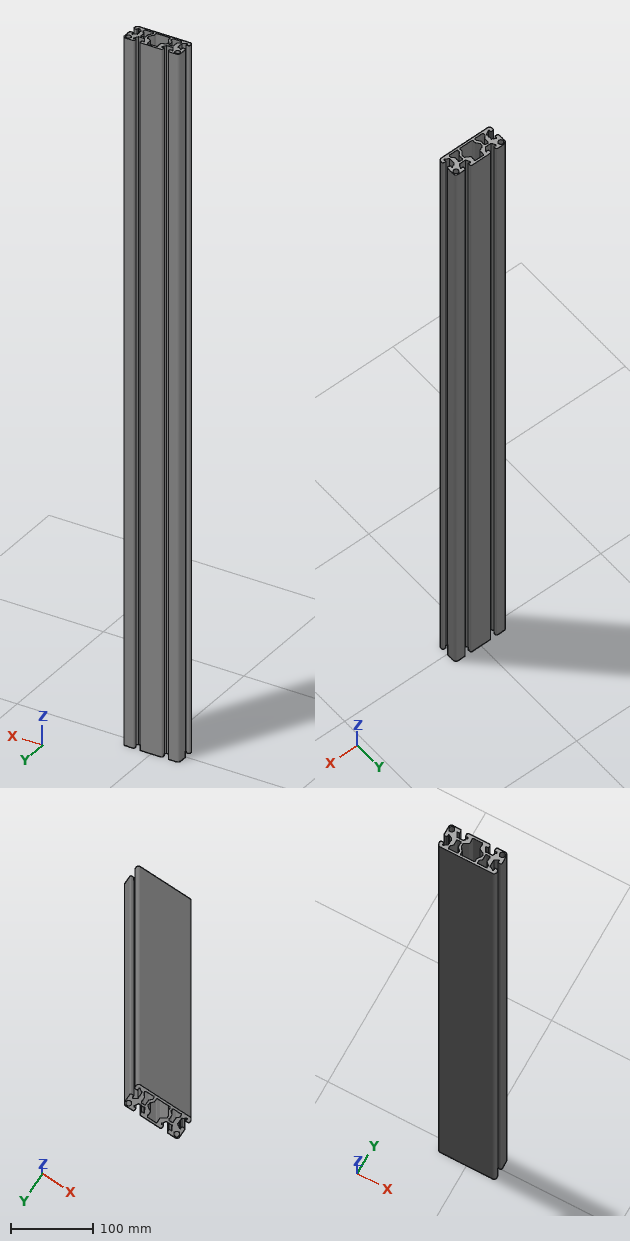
import cadquery as cq

width = 80.0
depth = 32.0
length = 1000.0
corner_radius = 4.0
half_width = width / 2
half_depth = depth / 2
floor_thickness = 3.0
floor_y = floor_thickness - half_depth

slot_mouth = 8.0
slot_lip = 5.0
slot_depth = 11.0
slot_cavity = 15.0
slot_cavity_wall = 1.0
slot_cavity_floor = 9.0
mouth_radius = 2.0
top_slot_x = 20.0
side_slot_y = -4.5

chamber_top = 2.0
chamber_neck = 6.0
chamber_neck_bottom = -6.0
chamber_foot = 13.0
chamber_foot_top = -9.0
chamber_radius = 1.0

hollow_top = 13.0
hollow_neck_half = 7.0
hollow_neck_bottom = 5.0
hollow_belly_half = 14.0
hollow_belly_top = 1.0
hollow_belly_bottom = -3.0
hollow_foot_half = 10.0
hollow_foot_top = -8.0
hollow_radius = 1.0

channel_diameter = 7.0
channel_inset = 5.0
channel_x = half_width - channel_inset
channel_y = half_depth - channel_inset


def mirrored(right_side):
    """Close a half-outline with its mirror image across the Y axis."""
    return right_side + [(-x, y) for x, y in reversed(right_side)]


def prism(outline):
    """Extrude a closed outline over the full length of the bar."""
    return cq.Workplane("XY").polyline(outline).close().extrude(length)


def t_slot():
    """T-slot cutter opening along +Y at the origin, with rounded mouth edges."""
    mouth = slot_mouth / 2
    cavity = slot_cavity / 2
    floor = slot_cavity_floor / 2
    round_end = mouth + mouth_radius
    taper_top = -slot_lip - slot_cavity_wall
    outline = cq.Workplane("XY").moveTo(-round_end, 0).lineTo(round_end, 0)
    outline = outline.radiusArc((mouth, -mouth_radius), -mouth_radius)
    outline = outline.lineTo(mouth, -slot_lip)
    outline = outline.lineTo(cavity, -slot_lip)
    outline = outline.lineTo(cavity, taper_top)
    outline = outline.lineTo(floor, -slot_depth)
    outline = outline.lineTo(-floor, -slot_depth)
    outline = outline.lineTo(-cavity, taper_top)
    outline = outline.lineTo(-cavity, -slot_lip)
    outline = outline.lineTo(-mouth, -slot_lip)
    outline = outline.lineTo(-mouth, -mouth_radius)
    outline = outline.radiusArc((-round_end, 0), -mouth_radius)
    return outline.close().extrude(length)


def keyhole_chamber():
    """Chamber cutter centred on X = 0, with a narrow neck and a wide foot."""
    chamber = prism(mirrored([
        (chamber_neck / 2, chamber_top),
        (chamber_neck / 2, chamber_neck_bottom),
        (chamber_foot / 2, chamber_foot_top),
        (chamber_foot / 2, floor_y),
    ]))
    return chamber.edges("|Z").fillet(chamber_radius)


def central_hollow():
    """Cutter for the hollow between the two inner ribs."""
    hollow = prism(mirrored([
        (hollow_neck_half, hollow_top),
        (hollow_neck_half, hollow_neck_bottom),
        (hollow_belly_half, hollow_belly_top),
        (hollow_belly_half, hollow_belly_bottom),
        (hollow_foot_half, hollow_foot_top),
        (hollow_foot_half, floor_y),
    ]))
    return hollow.edges("|Z").fillet(hollow_radius)


bar = cq.Workplane("XY").box(width, depth, length, centered=(True, True, False))
bar = bar.edges("|Z").fillet(corner_radius)
bar = bar.cut(central_hollow())

channel = cq.Workplane("XY").circle(channel_diameter / 2).extrude(length)

for side in (-1, 1):
    bar = bar.cut(t_slot().translate((side * top_slot_x, half_depth, 0)))
    side_slot = t_slot().rotate((0, 0, 0), (0, 0, 1), -90 * side)
    bar = bar.cut(side_slot.translate((side * half_width, side_slot_y, 0)))
    bar = bar.cut(keyhole_chamber().translate((side * top_slot_x, 0, 0)))
    bar = bar.cut(channel.translate((side * channel_x, channel_y, 0)))

result = bar